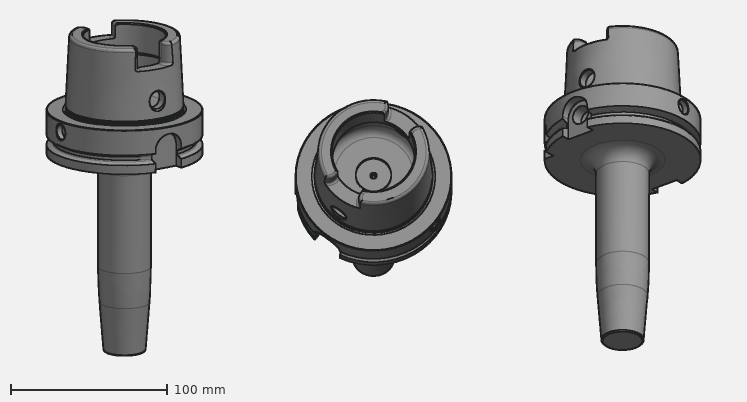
import cadquery as cq
import math


total_length = 210.0
taper_length = 49.7
flange_radius = 50.0
flange_height = 29.2
body_radius = 17.0

taper_base_radius = 37.8
taper_slope = 0.05
taper_base_height = 2.5
taper_top_radius = taper_base_radius - taper_slope * (taper_length - taper_base_height)
relief_outer_radius = 39.5
relief_depth = 1.0
relief_neck_radius = 37.4
relief_step = 0.6
relief_neck_length = 0.8

flange_edge_chamfer = 0.5
groove_center_depth = 20.0
groove_floor_radius = 45.8
groove_floor_half_width = 1.7
groove_mouth_half_width = 3.4
groove_floor_fillet = 0.8

body_fillet = 10.0
nose_cone_height = 44.3
nose_angle = math.radians(4.5)
nose_blend_radius = 300.0
nose_chamfer = 0.8

bore_radius = 26.5
bore_straight_depth = 19.3
chamber_radius = 31.0
chamber_roof_angle = math.radians(30)
chamber_fillet = 5.9
bore_floor_height = 3.8
bore_chamfer = 0.8
center_hole_radius = 1.5
center_hole_chamfer = 0.6
center_hole_depth = 4.2
socket_radius = 11.3
socket_depth = 2.0

slot_width = 20.0
shallow_slot_depth = 10.0
deep_slot_depth = 15.0
slot_mouth_start_x = 26.5
slot_mouth_radius = 6.7
slot_floor_fillet = 1.7
rim_fillet = 2.0

cross_hole_radius = 5.9
cross_hole_height = 14.5
cross_hole_chamfer = 0.8

keyway_width = 20.0
keyway_arc_height = -14.7
keyway_floor_x = 43.2
notch_floor_x = 31.7
notch_inner_y = 31.5
keyway_hole_radius = 6.3
keyway_hole_depth = 8.5
drill_tip_half_angle = math.radians(59)

pocket_radius = 4.8
pocket_height = -7.1
pocket_depth = 4.6
pocket_chamfer = 0.6
pilot_radius = 0.5
pilot_depth = 1.0


def turned_blank():
    """Solid of revolution: taper, flange with gripper groove, body and conical nose."""
    nose_z = taper_length - total_length
    corner_z = nose_z + nose_cone_height
    nose_radius = body_radius - nose_cone_height * math.tan(nose_angle)
    tangent_length = nose_blend_radius * math.tan(nose_angle / 2)
    blend_top_z = corner_z + tangent_length
    blend_low = (body_radius - tangent_length * math.sin(nose_angle),
                 corner_z - tangent_length * math.cos(nose_angle))
    blend_mid = (body_radius - nose_blend_radius * (1 - math.cos(nose_angle / 2)),
                 blend_top_z - nose_blend_radius * math.sin(nose_angle / 2))
    fillet_inset = body_fillet * (1 - math.sqrt(0.5))
    neck_top = taper_base_height - relief_step
    neck_bottom = neck_top - relief_neck_length
    mouth_top = -groove_center_depth + groove_mouth_half_width
    mouth_low = -groove_center_depth - groove_mouth_half_width
    floor_top = -groove_center_depth + groove_floor_half_width
    floor_low = -groove_center_depth - groove_floor_half_width
    groove_floor_rings = cq.selectors.BoxSelector(
        (-body_radius, -body_radius, floor_low - groove_floor_fillet),
        (body_radius, body_radius, floor_top + groove_floor_fillet),
    )
    return (
        cq.Workplane("XZ")
        .moveTo(0, taper_length)
        .lineTo(taper_top_radius, taper_length)
        .lineTo(taper_base_radius, taper_base_height)
        .lineTo(relief_neck_radius, neck_top)
        .lineTo(relief_neck_radius, neck_bottom)
        .lineTo(taper_base_radius, neck_bottom - relief_step)
        .lineTo(taper_base_radius, -relief_depth)
        .lineTo(relief_outer_radius, 0)
        .lineTo(flange_radius - flange_edge_chamfer, 0)
        .lineTo(flange_radius, -flange_edge_chamfer)
        .lineTo(flange_radius, mouth_top)
        .lineTo(groove_floor_radius, floor_top)
        .lineTo(groove_floor_radius, floor_low)
        .lineTo(flange_radius, mouth_low)
        .lineTo(flange_radius, -flange_height)
        .lineTo(body_radius + body_fillet, -flange_height)
        .threePointArc((body_radius + fillet_inset, -flange_height - fillet_inset),
                       (body_radius, -flange_height - body_fillet))
        .lineTo(body_radius, blend_top_z)
        .threePointArc(blend_mid, blend_low)
        .lineTo(nose_radius, nose_z)
        .lineTo(0, nose_z)
        .close()
        .revolve(360, (0, 0, 0), (0, 1, 0))
        .edges(groove_floor_rings).fillet(groove_floor_fillet)
        .faces("<Z").chamfer(nose_chamfer)
    )


def bore():
    """Open bore widening into a round-bottomed chamber, with a stepped center hole below."""
    roof_rise = (chamber_radius - bore_radius) * math.tan(chamber_roof_angle)
    roof_end = taper_length - bore_straight_depth - roof_rise
    fillet_inset = chamber_fillet * (1 - math.sqrt(0.5))
    socket_floor = bore_floor_height - socket_depth
    center_floor = socket_floor - center_hole_depth
    return (
        cq.Workplane("XZ")
        .moveTo(0, taper_length)
        .lineTo(bore_radius + bore_chamfer, taper_length)
        .lineTo(bore_radius, taper_length - bore_chamfer)
        .lineTo(bore_radius, taper_length - bore_straight_depth)
        .lineTo(chamber_radius, roof_end)
        .lineTo(chamber_radius, bore_floor_height + chamber_fillet)
        .threePointArc((chamber_radius - fillet_inset, bore_floor_height + fillet_inset),
                       (chamber_radius - chamber_fillet, bore_floor_height))
        .lineTo(socket_radius, bore_floor_height)
        .lineTo(socket_radius, socket_floor)
        .lineTo(center_hole_radius + center_hole_chamfer, socket_floor)
        .lineTo(center_hole_radius, socket_floor - center_hole_chamfer)
        .lineTo(center_hole_radius, center_floor)
        .lineTo(0, center_floor)
        .close()
        .revolve(360, (0, 0, 0), (0, 1, 0))
    )


def drive_slot(depth, side):
    """Slot on the +X (side = 1) or -X (side = -1) half, its mouth rounded outward."""
    half = slot_width / 2
    arc_center_y = half + slot_mouth_radius
    mid_x = slot_mouth_start_x + slot_mouth_radius * math.sqrt(0.5)
    mid_y = arc_center_y - slot_mouth_radius * math.sqrt(0.5)
    arc_end_x = slot_mouth_start_x + slot_mouth_radius
    slot = (
        cq.Workplane("XY", origin=(0, 0, taper_length - depth))
        .moveTo(0, half)
        .lineTo(slot_mouth_start_x, half)
        .threePointArc((mid_x, mid_y), (arc_end_x, arc_center_y))
        .lineTo(flange_radius, arc_center_y)
        .lineTo(flange_radius, -arc_center_y)
        .lineTo(arc_end_x, -arc_center_y)
        .threePointArc((mid_x, -mid_y), (slot_mouth_start_x, -half))
        .lineTo(0, -half)
        .close()
        .extrude(depth)
        .faces("<Z").edges().fillet(slot_floor_fillet)
    )
    if side < 0:
        slot = slot.rotate((0, 0, 0), (0, 0, 1), 180)
    return slot


def cross_hole():
    """Hole along X through both taper walls, chamfered where it meets the outside."""
    wall_radius = taper_base_radius - taper_slope * (cross_hole_height - taper_base_height)
    mouth_x = wall_radius + cross_hole_chamfer
    throat_x = wall_radius - cross_hole_chamfer
    mouth_radius = cross_hole_radius + mouth_x - throat_x
    return (
        cq.Workplane("XY", origin=(0, 0, cross_hole_height))
        .moveTo(-mouth_x, 0)
        .lineTo(-mouth_x, mouth_radius)
        .lineTo(-throat_x, cross_hole_radius)
        .lineTo(throat_x, cross_hole_radius)
        .lineTo(mouth_x, mouth_radius)
        .lineTo(mouth_x, 0)
        .close()
        .revolve(360, (0, 0, 0), (1, 0, 0))
    )


def flange_slot(floor_x, center_y):
    """Round-topped slot cut along X from the floor outward and open downward."""
    half = keyway_width / 2
    below = flange_height + keyway_arc_height
    reach = math.copysign(flange_radius, floor_x)
    return (
        cq.Workplane("YZ", origin=(floor_x, center_y, keyway_arc_height))
        .moveTo(-half, -below)
        .lineTo(-half, 0)
        .threePointArc((0, half), (half, 0))
        .lineTo(half, -below)
        .close()
        .extrude(reach)
    )


def keyway_hole():
    """Drilled hole with a conical end in the floor of the -X keyway."""
    shoulder_x = -keyway_floor_x + keyway_hole_depth
    tip_x = shoulder_x + keyway_hole_radius / math.tan(drill_tip_half_angle)
    return (
        cq.Workplane("XY", origin=(0, 0, keyway_arc_height))
        .moveTo(-keyway_floor_x, 0)
        .lineTo(-keyway_floor_x, keyway_hole_radius)
        .lineTo(shoulder_x, keyway_hole_radius)
        .lineTo(tip_x, 0)
        .close()
        .revolve(360, (0, 0, 0), (1, 0, 0))
    )


def rim_pocket():
    """Flat-floored round pocket facing -Y, with a tiny pilot hole in its floor."""
    chamfer_radius = pocket_radius + pocket_chamfer
    floor_y = -flange_radius + pocket_depth
    pilot_y = floor_y + pilot_depth
    return (
        cq.Workplane("XY", origin=(0, 0, pocket_height))
        .moveTo(0, -flange_radius)
        .lineTo(chamfer_radius, -flange_radius)
        .lineTo(pocket_radius, -flange_radius + pocket_chamfer)
        .lineTo(pocket_radius, floor_y)
        .lineTo(pilot_radius, floor_y)
        .lineTo(pilot_radius, pilot_y)
        .lineTo(0, pilot_y)
        .close()
        .revolve(360, (0, 0, 0), (0, 1, 0))
    )


shank = (
    turned_blank()
    .cut(drive_slot(shallow_slot_depth, -1))
    .cut(drive_slot(deep_slot_depth, 1))
    .faces(">Z").edges().fillet(rim_fillet)
    .cut(bore())
    .cut(cross_hole())
)

for floor_x in (keyway_floor_x, -keyway_floor_x):
    shank = shank.cut(flange_slot(floor_x, 0))

result = (
    shank.cut(flange_slot(-notch_floor_x, notch_inner_y + keyway_width / 2))
    .cut(keyway_hole())
    .cut(rim_pocket())
)